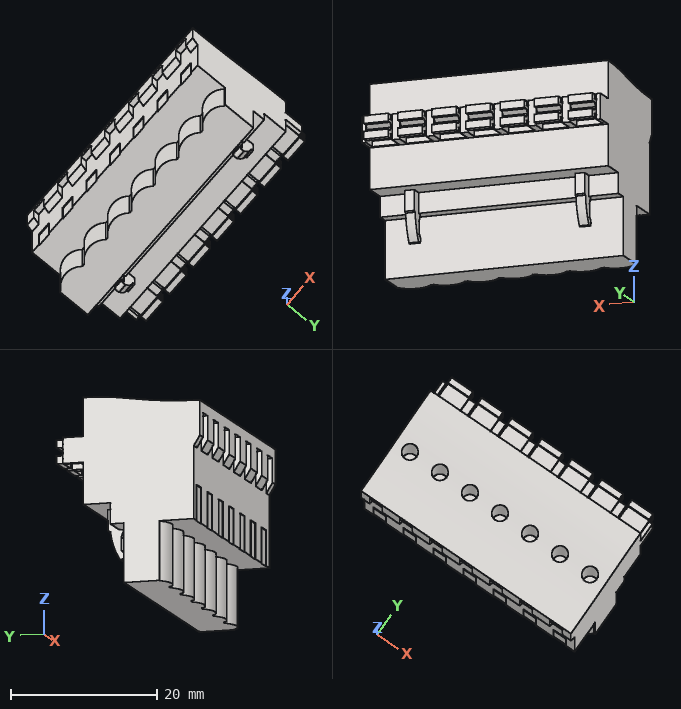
import cadquery as cq
import math

length = 35.0
pole_count = 7
pitch = length / pole_count
pole_centers = [(i + 0.5) * pitch for i in range(pole_count)]

lip_depth = 0.88
front_face_y = lip_depth
rear_y = 16.73
shelf_rear_y = 19.65
step_y = 12.85
leg_front_y = 5.85
leg_rear_y = 10.92

height = 26.25
base_z = 8.33
step_z = 11.27
shelf_bottom_z = 17.2
shelf_top_z = 20.82
lip_slope_bottom_z = 18.5
lip_bottom_z = 19.95
front_top_z = 24.9

crest_y = 9.85
top_drop = height - front_top_z
crest_z = front_top_z + top_drop * crest_y / rear_y

sleeve_width = 4.55
sleeve_bulge = 1.05

slot_width = 2.1
upper_slot_top_z = 23.35
lower_slot_top_z = 13.35
lower_slot_depth = 0.1

hole_diameter = 2.25
hole_y = 8.2
hole_floor_z = 18.55

lever_width = 3.57
lever_end_clearance = 0.15
pocket_width = lever_width + 2 * lever_end_clearance
pocket_front_y = 17.2
lever_mid_z = (shelf_bottom_z + shelf_top_z) / 2
stem_height = 2.05
head_front_y = 19.85
head_rear_y = 20.8
head_height = 3.32
notch_width = 1.12
notch_floor_y = 20.1

hook_width = 1.4
hook_centers = [pitch, length - pitch]
hook_rear_y = 14.52
hook_shank_rear_y = 14.18
hook_root_y = 12.2
hook_neck_y = 12.6
hook_neck_top_z = 7.3
hook_neck_bottom_z = 5.45
hook_shoulder_drop = 0.18
hook_back_middle = (13.7, 5.95)
hook_tip_start = (12.88, 4.27)
hook_tip_middle = (12.18, 4.4)
hook_tip_end = (12.25, 5.15)


def extrude_along_x(profile, x_center, width):
    """Extrude a closed YZ profile symmetrically about x_center."""
    return profile.extrude(width / 2, both=True).translate((x_center, 0, 0))


def block(x_center, width, y_range, z_range):
    """Box centred on x_center that fills the given Y and Z ranges."""
    size_y = y_range[1] - y_range[0]
    size_z = z_range[1] - z_range[0]
    return (
        cq.Workplane("XY")
        .box(width, size_y, size_z, centered=(True, False, False))
        .translate((x_center, y_range[0], z_range[0]))
    )


def arc_middle(level_y, level_z, end_z):
    """Point half way along an arc that starts level and ends at the crest line."""
    run = crest_y - level_y
    rise = end_z - level_z
    radius = (run**2 + rise**2) / (2 * rise)
    sweep = math.atan2(abs(run), abs(radius) - abs(rise))
    half = sweep / 2
    return (
        level_y + math.copysign(abs(radius) * math.sin(half), run),
        level_z + radius * (1 - math.cos(half)),
    )


def make_shell():
    """Solid housing with its lip, S-shaped top, rear shelf, step and leg."""
    profile = (
        cq.Workplane("YZ")
        .moveTo(rear_y, height)
        .lineTo(rear_y, shelf_top_z)
        .lineTo(shelf_rear_y, shelf_top_z)
        .lineTo(shelf_rear_y, shelf_bottom_z)
        .lineTo(rear_y, shelf_bottom_z)
        .lineTo(rear_y, step_z)
        .lineTo(step_y, step_z)
        .lineTo(step_y, base_z)
        .lineTo(leg_rear_y, base_z)
        .lineTo(leg_rear_y, 0)
        .lineTo(leg_front_y, 0)
        .lineTo(leg_front_y, base_z)
        .lineTo(front_face_y, base_z)
        .lineTo(front_face_y, lip_slope_bottom_z)
        .lineTo(0, lip_bottom_z)
        .lineTo(0, front_top_z)
        .threePointArc(arc_middle(0, front_top_z, crest_z), (crest_y, crest_z))
        .threePointArc(arc_middle(rear_y, height, crest_z), (rear_y, height))
        .close()
    )
    return extrude_along_x(profile, length / 2, length)


def make_sleeve(x_center):
    """Bulged contact sleeve on the front of the leg."""
    half = sleeve_width / 2
    return (
        cq.Workplane("XY")
        .moveTo(x_center - half, leg_front_y)
        .threePointArc((x_center, leg_front_y - sleeve_bulge), (x_center + half, leg_front_y))
        .close()
        .extrude(base_z)
    )


def make_hook(x_center):
    """Latch hook: a block in the rear step and a curved finger ending in a round tip."""
    profile = (
        cq.Workplane("YZ")
        .moveTo(step_y, step_z)
        .lineTo(hook_rear_y, step_z)
        .lineTo(hook_rear_y, base_z)
        .lineTo(hook_shank_rear_y, base_z - hook_shoulder_drop)
        .threePointArc(hook_back_middle, hook_tip_start)
        .threePointArc(hook_tip_middle, hook_tip_end)
        .lineTo(hook_neck_y, hook_neck_bottom_z)
        .lineTo(hook_neck_y, hook_neck_top_z)
        .lineTo(hook_root_y, base_z)
        .lineTo(step_y, base_z)
        .close()
    )
    return extrude_along_x(profile, x_center, hook_width)


def make_housing():
    housing = make_shell()
    for x in pole_centers:
        housing = housing.union(make_sleeve(x))
    for x in hook_centers:
        housing = housing.union(make_hook(x))
    for x in pole_centers:
        upper_slot = block(x, slot_width, (0, front_face_y), (lip_slope_bottom_z, upper_slot_top_z))
        lower_slot = block(
            x, slot_width, (front_face_y, front_face_y + lower_slot_depth), (base_z, lower_slot_top_z)
        )
        pocket = block(x, pocket_width, (pocket_front_y, shelf_rear_y), (shelf_bottom_z, shelf_top_z))
        hole = (
            cq.Workplane("XY", origin=(x, hole_y, hole_floor_z))
            .circle(hole_diameter / 2)
            .extrude(height - hole_floor_z)
        )
        housing = housing.cut(upper_slot).cut(lower_slot).cut(pocket).cut(hole)
    return housing


def make_lever(x_center):
    """Release lever: flat stem, taller head and a V-ended notch across the rear."""
    half_stem = stem_height / 2
    half_head = head_height / 2
    half_notch = notch_width / 2
    lower_half = [
        (pocket_front_y, -half_stem),
        (head_front_y, -half_stem),
        (head_front_y, -half_head),
        (head_rear_y, -half_head),
        (head_rear_y, -half_notch),
        (notch_floor_y, -half_notch),
    ]
    notch_tip = (notch_floor_y - half_notch, 0)
    upper_half = [(y, -z) for y, z in reversed(lower_half)]
    profile = (
        cq.Workplane("YZ", origin=(0, 0, lever_mid_z))
        .polyline(lower_half + [notch_tip] + upper_half)
        .close()
    )
    return extrude_along_x(profile, x_center, lever_width)


housing = make_housing()
levers = [make_lever(x) for x in pole_centers]

result = cq.Compound.makeCompound([housing.val(), *[lever.val() for lever in levers]])